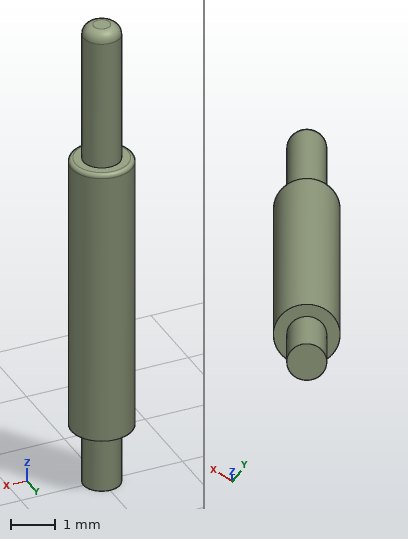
import cadquery as cq

pin_diameter = 0.9
barrel_diameter = 1.5
tail_length = 1.5
barrel_length = 7.0
plunger_length = 3.5

barrel_edge_radius = 0.1
plunger_tip_radius = 0.25


def tail():
    return cq.Workplane("XY").circle(pin_diameter / 2).extrude(tail_length)


def barrel():
    body = cq.Workplane("XY").circle(barrel_diameter / 2).extrude(barrel_length)
    rounded = body.faces(">Z").edges().fillet(barrel_edge_radius)
    return rounded.translate((0, 0, tail_length))


def plunger():
    rod = cq.Workplane("XY").circle(pin_diameter / 2).extrude(plunger_length)
    rounded = rod.faces(">Z").edges().fillet(plunger_tip_radius)
    return rounded.translate((0, 0, tail_length + barrel_length))


result = tail().union(barrel()).union(plunger())